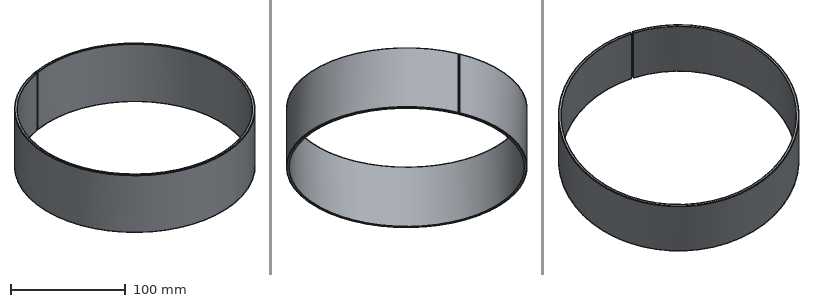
import cadquery as cq
import math

outer_diameter = 210.0
wall_thickness = 2.5
height = 60.0
outer_chamfer = 0.5
inner_chamfer = 0.2
gap_angle = 1.0

outer_radius = outer_diameter / 2
inner_radius = outer_radius - wall_thickness


def make_band():
    """Thin cylindrical band about Z, chamfered on both rims, more on the outside than the inside."""
    band = cq.Workplane("XY").circle(outer_radius).circle(inner_radius).extrude(height)
    inner_rims = cq.selectors.RadiusNthSelector(0)
    outer_rims = cq.selectors.RadiusNthSelector(-1)
    band = band.edges(inner_rims).chamfer(inner_chamfer)
    return band.edges(outer_rims).chamfer(outer_chamfer)


def make_gap_cutter():
    """Narrow wedge from the axis through the -X wall: one face on the XZ plane, opening toward +Y."""
    reach = outer_diameter
    far_width = reach * math.tan(math.radians(gap_angle))
    return (
        cq.Workplane("XY")
        .polyline([(0, 0), (-reach, 0), (-reach, far_width)])
        .close()
        .extrude(height)
    )


result = make_band().cut(make_gap_cutter())